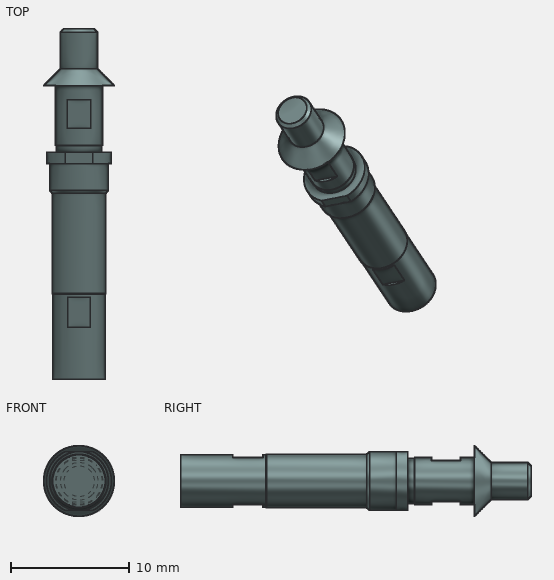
import cadquery as cq

total_length = 29.7
tip_y = total_length / 2

pin_diameter = 3.18
flange_diameter = 6.0
neck_diameter = 4.0
relief_diameter = 3.9
collar_diameter = 5.5
shoulder_diameter = 5.0
barrel_diameter = 4.55
tail_diameter = 4.45

flange_face = 4.8
neck_end = 9.92
collar_start = 10.45
collar_end = 11.43
shoulder_end = 13.7
barrel_end = 22.48

tip_chamfer = 0.3
step_bevel_length = 0.05
shoulder_taper_length = 0.27
cone_length = (flange_diameter - pin_diameter) / 2

neck_flat_start = 6.0
neck_flat_end = 8.43
neck_flat_distance = 3.47
tail_flat_start = 22.75
tail_flat_end = 25.27
tail_flat_distance = 4.0
collar_flat_distance = shoulder_diameter


def turned_body():
    """Revolve the stepped half profile, given as (diameter, station) pairs."""
    profile = [
        (0, 0),
        (pin_diameter - 2 * tip_chamfer, 0),
        (pin_diameter, tip_chamfer),
        (pin_diameter, flange_face - cone_length),
        (flange_diameter, flange_face),
        (neck_diameter, flange_face),
        (neck_diameter, neck_end - step_bevel_length),
        (relief_diameter, neck_end),
        (relief_diameter, collar_start),
        (collar_diameter, collar_start),
        (collar_diameter, collar_end),
        (shoulder_diameter, collar_end),
        (shoulder_diameter, shoulder_end),
        (barrel_diameter, shoulder_end + shoulder_taper_length),
        (barrel_diameter, barrel_end - step_bevel_length),
        (tail_diameter, barrel_end),
        (tail_diameter, total_length),
        (0, total_length),
    ]
    points = [(diameter / 2, tip_y - station) for diameter, station in profile]
    return cq.Workplane("XY").polyline(points).close().revolve(360, (0, 0, 0), (0, 1, 0))


def cut_flats(body, start, end, distance):
    """Cut two parallel flats, the given distance apart, between two stations."""
    block_height = flange_diameter
    middle_y = tip_y - (start + end) / 2
    block_center_z = (distance + block_height) / 2
    for side in (1, -1):
        block = cq.Workplane("XY").box(flange_diameter, end - start, block_height)
        body = body.cut(block.translate((0, middle_y, side * block_center_z)))
    return body


result = turned_body()
result = cut_flats(result, neck_flat_start, neck_flat_end, neck_flat_distance)
result = cut_flats(result, collar_start, collar_end, collar_flat_distance)
result = cut_flats(result, tail_flat_start, tail_flat_end, tail_flat_distance)